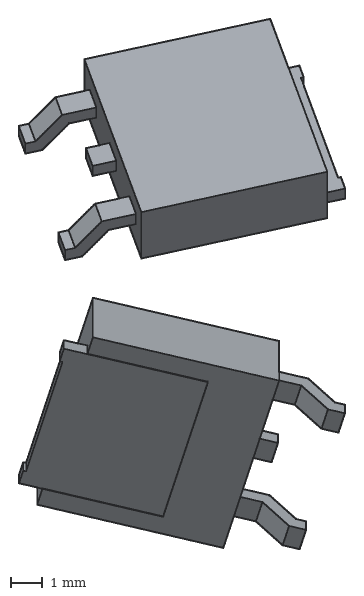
import cadquery as cq
import math

OVERALL_LENGTH = 9.25
OVERALL_HEIGHT = 2.31

HOUSING_WIDTH = 6.6
HOUSING_LENGTH = 6.13
STANDOFF = 0.03
HOUSING_HEIGHT = OVERALL_HEIGHT - STANDOFF

METAL_THICKNESS = 0.5

TAB_WIDTH = 5.31
TAB_LENGTH = 4.745
TAB_OVERHANG = 0.78
NOTCH_MARGIN = 0.5
NOTCH_DEPTH = 0.09

LEAD_WIDTH = 0.77
LEAD_PITCH = 4.6
LEAD_TOP = 1.52
LEAD_REACH = OVERALL_LENGTH - HOUSING_LENGTH - TAB_OVERHANG
LEAD_KNEE = 1.13
LEAD_HEEL = 2.01
STUB_REACH = 0.78

TAB_BACK = HOUSING_LENGTH + TAB_OVERHANG
LEAD_UNDERSIDE = LEAD_TOP - METAL_THICKNESS


def block(width, length, height, y_start, z_start):
    """Box centred on X that starts at the given Y and Z."""
    box = cq.Workplane("XY").box(width, length, height, centered=(True, False, False))
    return box.translate((0, y_start, z_start))


def make_tab():
    """Flat heat-sink tab with a shallow notch along its outer edge."""
    plate = block(TAB_WIDTH, TAB_LENGTH, METAL_THICKNESS, TAB_BACK - TAB_LENGTH, 0)
    notch_width = TAB_WIDTH - 2 * NOTCH_MARGIN
    notch = block(notch_width, NOTCH_DEPTH, METAL_THICKNESS, TAB_BACK - NOTCH_DEPTH, 0)
    return plate.cut(notch)


def make_lead(x_centre):
    """Outer lead: level at the housing, sloping down to a flat foot on the seating plane."""
    slope_angle = math.atan2(LEAD_UNDERSIDE, LEAD_HEEL - LEAD_KNEE)
    mitre = METAL_THICKNESS * math.tan(slope_angle / 2)
    profile = [
        (0, LEAD_TOP),
        (-LEAD_KNEE, LEAD_TOP),
        (-LEAD_HEEL, METAL_THICKNESS),
        (-LEAD_REACH, METAL_THICKNESS),
        (-LEAD_REACH, 0),
        (-LEAD_HEEL + mitre, 0),
        (-LEAD_KNEE + mitre, LEAD_UNDERSIDE),
        (0, LEAD_UNDERSIDE),
    ]
    lead = cq.Workplane("YZ").polyline(profile).close().extrude(LEAD_WIDTH)
    return lead.translate((x_centre - LEAD_WIDTH / 2, 0, 0))


def make_stub():
    """Cropped middle lead."""
    return block(LEAD_WIDTH, STUB_REACH, METAL_THICKNESS, -STUB_REACH, LEAD_UNDERSIDE)


def make_housing(tab):
    """Housing in one piece with its leads, recessed underneath to hold the tab."""
    body = block(HOUSING_WIDTH, HOUSING_LENGTH, HOUSING_HEIGHT, 0, STANDOFF)
    for side in (-1, 1):
        body = body.union(make_lead(side * LEAD_PITCH / 2))
    return body.union(make_stub()).cut(tab)


tab = make_tab()
housing = make_housing(tab)

result = cq.Compound.makeCompound([housing.solids().val(), tab.solids().val()])